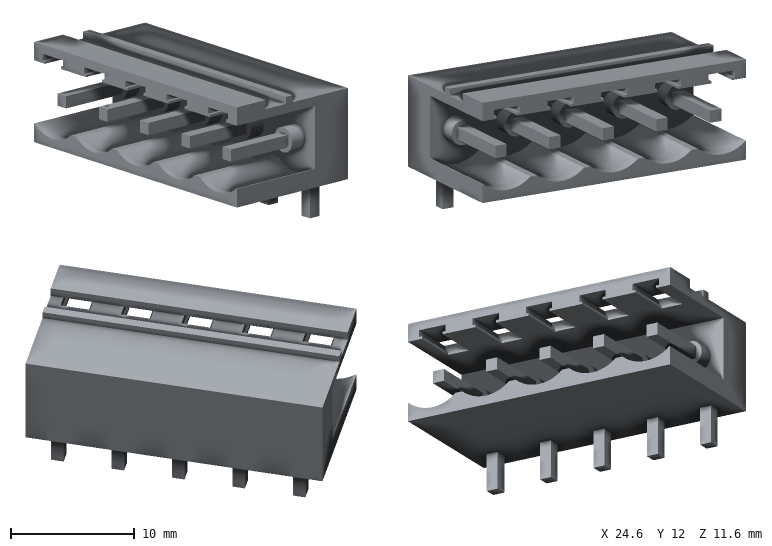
import cadquery as cq


length = 24.6
depth = 12.0
height = 8.45

pin_count = 5
row_span = 20.02
pitch = row_span / (pin_count - 1)
pin_thickness = 1.03
pin_axis_z = 3.8
pin_tip_y = 0.95
leg_back_offset = 2.02
leg_axis_y = depth - leg_back_offset
leg_drop = 3.2

back_thickness = 3.55
floor_thickness = 1.57
roof_underside_z = 6.9
roof_top_z = 7.68
cavity_depth = depth - back_thickness

lip_depth = 3.12
rib_front_y = 5.3
rib_width = 0.75
rib_top_z = 8.27

slot_depth = 4.13
slot_wide = 2.45
slot_narrow = 1.95
slot_step_z = 7.1

scallop_width = 4.38
scallop_depth = 0.8

collar_diameter = 2.12
collar_length = 1.4

pin_positions = [(i - (pin_count - 1) / 2) * pitch for i in range(pin_count)]


def block(x_size, y_min, y_max, z_min, z_max, x_center=0.0):
    """Box centred on x_center, spanning the given Y and Z ranges."""
    return (
        cq.Workplane("XY")
        .box(x_size, y_max - y_min, z_max - z_min, centered=(True, False, False))
        .translate((x_center, y_min, z_min))
    )


def make_shell():
    """C-shaped housing profile with the lip and rib on its roof."""
    shell = block(length, 0, depth, 0, roof_top_z)
    cavity = block(length, 0, cavity_depth, floor_thickness, roof_underside_z)
    lip = block(length, 0, lip_depth, roof_top_z, height)
    rib = block(length, rib_front_y, rib_front_y + rib_width, roof_top_z, rib_top_z)
    return shell.cut(cavity).union(lip).union(rib)


def make_slot(x):
    """T-shaped cutter: a narrow mouth below a wider pocket."""
    mouth = block(slot_narrow, 0, slot_depth, roof_underside_z, slot_step_z, x)
    pocket = block(slot_wide, 0, slot_depth, slot_step_z, roof_top_z, x)
    return mouth.union(pocket)


def make_scallop(x):
    """Circular-segment cutter for one channel in the floor."""
    half_width = scallop_width / 2
    return (
        cq.Workplane("XZ")
        .moveTo(x - half_width, floor_thickness)
        .threePointArc((x, floor_thickness - scallop_depth), (x + half_width, floor_thickness))
        .close()
        .extrude(-cavity_depth)
    )


def make_collar(x):
    """Round collar standing forward from the back block."""
    collar_front = cq.Vector(x, cavity_depth - collar_length, pin_axis_z)
    collar = cq.Solid.makeCylinder(collar_diameter / 2, collar_length, collar_front, cq.Vector(0, 1, 0))
    return cq.Workplane(obj=collar)


def make_pin(x):
    """L-shaped square pin: contact arm along Y and a leg down through the floor."""
    half = pin_thickness / 2
    leg_back_y = leg_axis_y + half
    arm = block(pin_thickness, pin_tip_y, leg_back_y, pin_axis_z - half, pin_axis_z + half, x)
    leg = block(pin_thickness, leg_axis_y - half, leg_back_y, -leg_drop, pin_axis_z + half, x)
    return arm.union(leg)


def make_housing(pins):
    """Housing with slots, channels, collars and a matching passage for each pin."""
    housing = make_shell()
    for x in pin_positions:
        housing = housing.cut(make_slot(x)).cut(make_scallop(x)).union(make_collar(x))
    for pin in pins:
        housing = housing.cut(pin)
    return housing


pins = [make_pin(x) for x in pin_positions]
housing = make_housing(pins)

result = cq.Compound.makeCompound([housing.val(), *[pin.val() for pin in pins]])